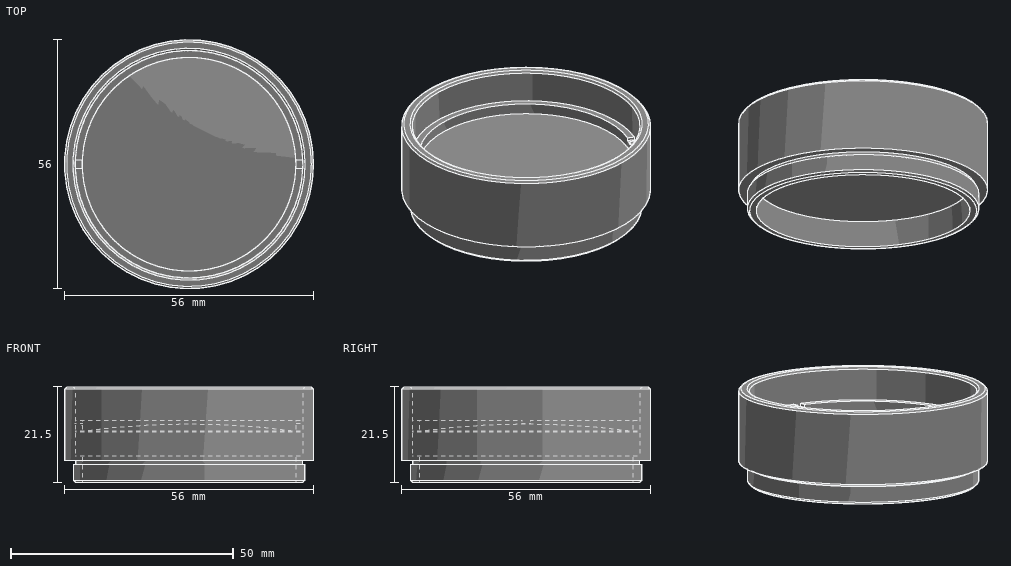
import cadquery as cq

outer_diameter = 56.0
total_height = 21.5
spigot_radius = 26.05
groove_radius = 25.55
bore_radius = 25.6
aperture_radius = 24.0
shoulder_height = 4.9
groove_height = 0.85
chamfer = 0.5
lens_seat_height = 6.0

ring_bottom = 11.55
ring_height = 2.45
slot_width = 1.85
slot_depth = 0.7

lens_rise = 1.6


def make_housing():
    """Turned cell: wide barrel, grooved spigot, bore and lens seat."""
    barrel_radius = outer_diameter / 2
    profile = (
        cq.Workplane("XZ")
        .moveTo(aperture_radius, 0)
        .lineTo(spigot_radius - chamfer, 0)
        .lineTo(spigot_radius, chamfer)
        .lineTo(spigot_radius, shoulder_height - groove_height)
        .lineTo(groove_radius, shoulder_height - groove_height)
        .lineTo(groove_radius, shoulder_height)
        .lineTo(barrel_radius, shoulder_height)
        .lineTo(barrel_radius, total_height - chamfer)
        .lineTo(barrel_radius - chamfer, total_height)
        .lineTo(bore_radius + chamfer, total_height)
        .lineTo(bore_radius, total_height - chamfer)
        .lineTo(bore_radius, lens_seat_height)
        .lineTo(aperture_radius, lens_seat_height)
        .close()
    )
    return profile.revolve(360, (0, 0, 0), (0, 1, 0))


def make_retaining_ring():
    """Flat ring with one spanner slot across its top face."""
    ring = (
        cq.Workplane("XY", origin=(0, 0, ring_bottom))
        .circle(bore_radius)
        .circle(aperture_radius)
        .extrude(ring_height)
    )
    slot = (
        cq.Workplane("XY", origin=(0, 0, ring_bottom + ring_height - slot_depth))
        .rect(outer_diameter, slot_width)
        .extrude(slot_depth)
    )
    return ring.cut(slot)


def make_lens():
    """Plano-convex lens whose dome touches the inner edge of the ring."""
    crown_height = ring_bottom + lens_rise
    dome_radius = (aperture_radius**2 + lens_rise**2) / (2 * lens_rise)
    blank = (
        cq.Workplane("XY", origin=(0, 0, lens_seat_height))
        .circle(bore_radius)
        .extrude(crown_height - lens_seat_height)
    )
    dome = cq.Workplane("XY", origin=(0, 0, crown_height - dome_radius)).sphere(dome_radius)
    return blank.intersect(dome)


housing = make_housing()
retaining_ring = make_retaining_ring()
lens = make_lens()

result = cq.Compound.makeCompound([housing.val(), retaining_ring.val(), lens.val()])